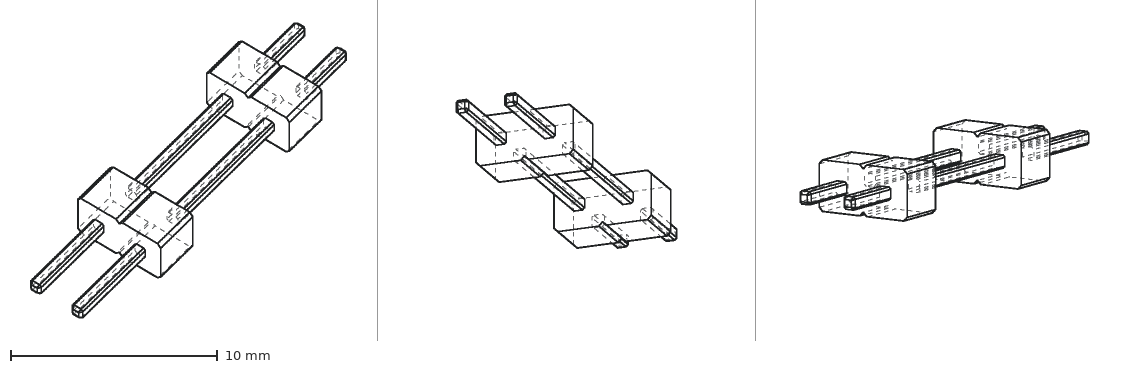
import cadquery as cq

total_length = 21.08
block_width = 5.08
pin_count = 2
pitch = block_width / pin_count

cell_length = pitch
cell_height = pitch
cell_chamfer = 0.2
block_count = 2
front_tail = 2 * pitch
block_spacing = 4 * pitch

pin_width = 0.65
pin_edge_chamfer = 0.11
pin_tip_chamfer = 0.15

first_block_y = -total_length / 2 + front_tail + cell_length / 2
pin_xs = [(i - (pin_count - 1) / 2) * pitch for i in range(pin_count)]
block_ys = [first_block_y + i * block_spacing for i in range(block_count)]


def block_cell(x, y):
    """One pin's share of a block, with its four Y-direction edges bevelled."""
    return (
        cq.Workplane("XY")
        .box(pitch, cell_length, cell_height)
        .edges("|Y")
        .chamfer(cell_chamfer)
        .translate((x, y, 0))
    )


def pin(x):
    """Full-length pin, bevelled along its edges and at both tips."""
    return (
        cq.Workplane("XY")
        .box(pin_width, total_length, pin_width)
        .edges("|Y")
        .chamfer(pin_edge_chamfer)
        .faces("<Y or >Y")
        .chamfer(pin_tip_chamfer)
        .translate((x, 0, 0))
    )


result = cq.Workplane("XY")
for pin_x in pin_xs:
    result = result.union(pin(pin_x))
    for block_y in block_ys:
        result = result.union(block_cell(pin_x, block_y))